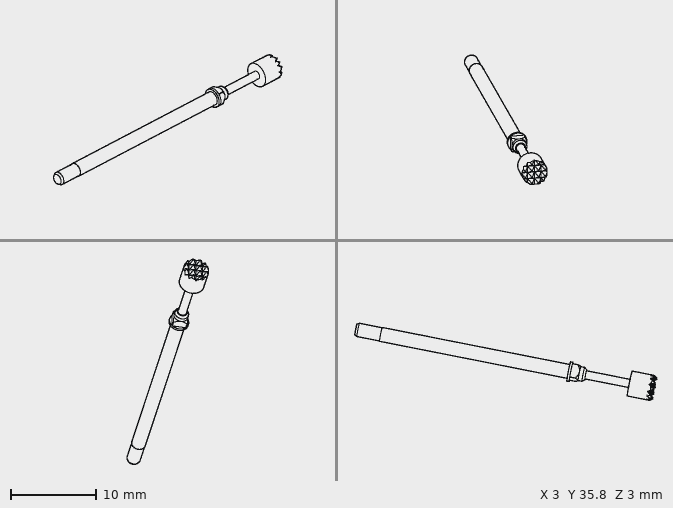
import cadquery as cq
import math

length = 35.8

head_diameter = 3.0
head_length = 3.0
teeth_across = 4
outer_tip_spacing = 2.4
groove_angle = 60.0

shaft_diameter = 1.0

barrel_diameter = 1.7
collar_diameter = 2.33
collar_back = 25.5
collar_thickness = 0.3

square_side = barrel_diameter
square_length = 1.0
square_bevel_angle = 45.0

nose_length = 0.75
nose_chamfer_length = 0.3
nose_tip_diameter = 1.2

tail_diameter = 1.6
tail_length = 3.0
tail_chamfer_length = 0.3
tail_end_diameter = 1.3

head_back = length - head_length
collar_front = collar_back + collar_thickness
square_front = collar_front + square_length
nose_front = square_front + nose_length


def revolve_about_y(steps):
    """Solid of revolution about Y from (diameter, station) pairs, closed along the axis."""
    first_station = steps[0][1]
    last_station = steps[-1][1]
    outline = [(diameter / 2, station) for diameter, station in steps]
    profile = [(0, first_station)] + outline + [(0, last_station)]
    return cq.Workplane("XY").polyline(profile).close().revolve(360, (0, 0), (0, 1))


def make_turned_body():
    """All round sections of the pin; only the shaft passes through the square."""
    return revolve_about_y(
        [
            (tail_end_diameter, 0),
            (tail_diameter, tail_chamfer_length),
            (tail_diameter, tail_length),
            (barrel_diameter, tail_length),
            (barrel_diameter, collar_back),
            (collar_diameter, collar_back),
            (collar_diameter, collar_front),
            (shaft_diameter, collar_front),
            (shaft_diameter, square_front),
            (barrel_diameter, square_front),
            (barrel_diameter, nose_front - nose_chamfer_length),
            (nose_tip_diameter, nose_front),
            (shaft_diameter, nose_front),
            (shaft_diameter, head_back),
            (head_diameter, head_back),
            (head_diameter, length),
        ]
    )


def make_square():
    """Square prism whose front corners are bevelled by a cone touching its flats."""
    bevel_height = (collar_diameter - square_side) / 2
    bevel_length = bevel_height * math.tan(math.radians(square_bevel_angle))
    envelope = revolve_about_y(
        [
            (collar_diameter, collar_front),
            (collar_diameter, square_front - bevel_length),
            (square_side, square_front),
        ]
    )
    prism = cq.Workplane("XY").box(square_side, square_length, square_side)
    prism = prism.translate((0, collar_front + square_length / 2, 0))
    return prism.intersect(envelope)


def cut_teeth(body):
    """Cut V grooves across the head face in both directions, leaving pointed teeth."""
    pitch = outer_tip_spacing / (teeth_across - 1)
    depth = pitch / 2 / math.tan(math.radians(groove_angle / 2))
    groove = (
        cq.Workplane("XY")
        .polyline([(-pitch / 2, length), (pitch / 2, length), (0, length - depth)])
        .close()
        .extrude(head_diameter, both=True)
    )
    for index in range(teeth_across + 1):
        offset = (index - teeth_across / 2) * pitch
        along_z = groove.translate((offset, 0, 0))
        along_x = along_z.rotate((0, 0, 0), (0, 1, 0), 90)
        body = body.cut(along_z).cut(along_x)
    return body


pin = make_turned_body().union(make_square())
result = cut_teeth(pin).solids()